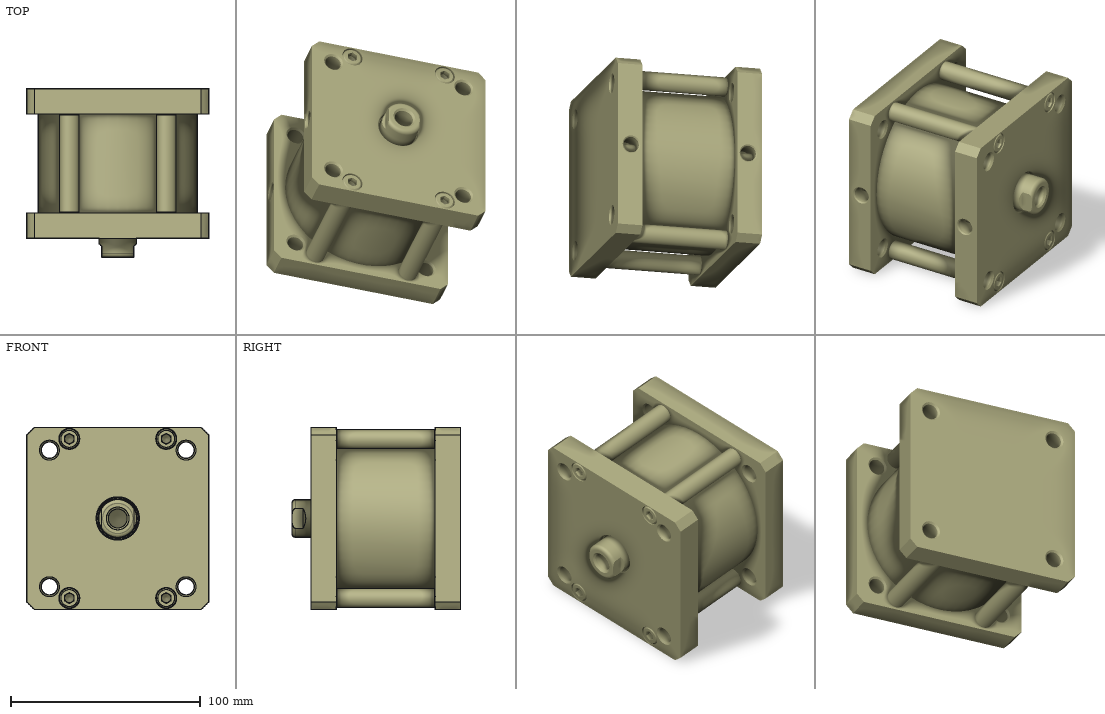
import cadquery as cq
import math


PLATE_SIDE = 96.0
PLATE_THICKNESS = 13.4
CORNER_CHAMFER = 4.0

TUBE_LENGTH = 52.1
TUBE_OUTER_DIAMETER = 84.0
TUBE_BORE_DIAMETER = 80.0

MOUNT_PITCH = 72.0
MOUNT_HOLE_DIAMETER = 8.5
MOUNT_MOUTH_DIAMETER = 10.5

PORT_FROM_INNER_FACE = 6.0
PORT_DIAMETER = 8.4
PORT_MOUTH_DIAMETER = 9.6
PORT_DEPTH = 12.0
PORT_BAR_DIAMETER = 5.0

TIE_PITCH_X = 51.1
TIE_PITCH_Z = 83.9
PILLAR_DIAMETER = 10.1
PILLAR_CHAMFER = 0.5
SHANK_DIAMETER = 6.9
HEAD_DIAMETER = 10.5
HEAD_HEIGHT = 6.0
HEAD_CHAMFER = 0.8
COUNTERBORE_DIAMETER = 11.0
SOCKET_ACROSS_FLATS = 5.0
SOCKET_DEPTH = 3.0
HEX_SIDES = 6
HEX_HALF_ANGLE = 180 / HEX_SIDES

GLAND_BORE_DIAMETER = 20.6
GLAND_RECESS_DIAMETER = 21.9
GLAND_RECESS_DEPTH = 1.9
GLAND_MOUTH_DIAMETER = 22.8

ROD_DIAMETER = 20.0
ROD_PROJECTION = 10.0
ROD_TIP_FILLET = 2.0
ROD_ACROSS_FLATS = 17.0
ROD_FLAT_LENGTH = 5.9
ROD_HOLE_DIAMETER = 10.0
ROD_HOLE_MOUTH_DIAMETER = 12.0
ROD_HOLE_DEPTH = 19.2

DRILL_POINT_ANGLE = 118.0
ROD_HOLE_POINT_ANGLE = 160.0

BACK_PLATE_START = PLATE_THICKNESS + TUBE_LENGTH
ALONG_X = cq.Vector(1, 0, 0)
ALONG_Y = cq.Vector(0, 1, 0)


def four_corners(pitch_x, pitch_z):
    """X and Z of four points placed evenly about the cylinder axis."""
    return [(x * pitch_x / 2, z * pitch_z / 2) for x in (-1, 1) for z in (-1, 1)]


MOUNT_CENTRES = four_corners(MOUNT_PITCH, MOUNT_PITCH)
TIE_CENTRES = four_corners(TIE_PITCH_X, TIE_PITCH_Z)


def cylinder(diameter, start, end, x=0.0, z=0.0):
    """Cylinder along Y between two Y positions."""
    return cq.Workplane(cq.Solid.makeCylinder(diameter / 2, end - start, cq.Vector(x, start, z), ALONG_Y))


def mouth_chamfer(diameter, mouth_diameter, face, inward, x=0.0, z=0.0):
    """45 degree countersink that narrows from a face along Y; inward is +1 or -1."""
    depth = (mouth_diameter - diameter) / 2
    cone = cq.Solid.makeCone(
        mouth_diameter / 2, diameter / 2, depth, cq.Vector(x, face, z), ALONG_Y * inward
    )
    return cq.Workplane(cone)


def drill_point(diameter, start, direction, angle=DRILL_POINT_ANGLE):
    """Conical bottom of a drilled hole."""
    height = diameter / 2 / math.tan(math.radians(angle / 2))
    return cq.Workplane(cq.Solid.makeCone(diameter / 2, 0, height, start, direction))


def air_port(port_y):
    """Blind drilled port along X, less the bar that crosses it near its bottom."""
    side = -PLATE_SIDE / 2
    mouth_depth = (PORT_MOUTH_DIAMETER - PORT_DIAMETER) / 2
    mouth = cq.Vector(side, port_y, 0)
    port = cq.Workplane(cq.Solid.makeCylinder(PORT_DIAMETER / 2, PORT_DEPTH, mouth, ALONG_X))
    countersink = cq.Solid.makeCone(
        PORT_MOUTH_DIAMETER / 2, PORT_DIAMETER / 2, mouth_depth, mouth, ALONG_X
    )
    port = port.union(cq.Workplane(countersink))
    port = port.union(drill_point(PORT_DIAMETER, cq.Vector(side + PORT_DEPTH, port_y, 0), ALONG_X))
    bar_x = side + PORT_DEPTH - PORT_BAR_DIAMETER / 2
    bar = cylinder(PORT_BAR_DIAMETER, port_y - PORT_DIAMETER, port_y + PORT_DIAMETER, x=bar_x)
    return port.cut(bar)


def end_plate(start, port_y):
    """Square plate with chamfered corners, mounting holes and an air port."""
    end = start + PLATE_THICKNESS
    plate = (
        cq.Workplane("XY")
        .box(PLATE_SIDE, PLATE_THICKNESS, PLATE_SIDE)
        .edges("|Y")
        .chamfer(CORNER_CHAMFER)
        .translate((0, start + PLATE_THICKNESS / 2, 0))
    )
    for x, z in MOUNT_CENTRES:
        plate = plate.cut(cylinder(MOUNT_HOLE_DIAMETER, start, end, x, z))
        plate = plate.cut(mouth_chamfer(MOUNT_HOLE_DIAMETER, MOUNT_MOUTH_DIAMETER, start, 1, x, z))
        plate = plate.cut(mouth_chamfer(MOUNT_HOLE_DIAMETER, MOUNT_MOUTH_DIAMETER, end, -1, x, z))
    return plate.cut(air_port(port_y))


def make_front_plate():
    plate = end_plate(0, PLATE_THICKNESS - PORT_FROM_INNER_FACE)
    plate = plate.cut(cylinder(GLAND_BORE_DIAMETER, 0, PLATE_THICKNESS))
    plate = plate.cut(cylinder(GLAND_RECESS_DIAMETER, 0, GLAND_RECESS_DEPTH))
    plate = plate.cut(mouth_chamfer(GLAND_RECESS_DIAMETER, GLAND_MOUTH_DIAMETER, 0, 1))
    for x, z in TIE_CENTRES:
        plate = plate.cut(cylinder(SHANK_DIAMETER, 0, PLATE_THICKNESS, x, z))
        plate = plate.cut(cylinder(COUNTERBORE_DIAMETER, 0, HEAD_HEIGHT, x, z))
    return plate


def make_back_plate():
    return end_plate(BACK_PLATE_START, BACK_PLATE_START + PORT_FROM_INNER_FACE)


def make_tube():
    outside = cylinder(TUBE_OUTER_DIAMETER, PLATE_THICKNESS, BACK_PLATE_START)
    return outside.cut(cylinder(TUBE_BORE_DIAMETER, PLATE_THICKNESS, BACK_PLATE_START))


def make_tie_rod(x, z):
    """Pillar between the plates, with a shank and a socket head in the front plate."""
    pillar = cylinder(PILLAR_DIAMETER, PLATE_THICKNESS, BACK_PLATE_START).edges().chamfer(PILLAR_CHAMFER)
    shank = cylinder(SHANK_DIAMETER, HEAD_HEIGHT, PLATE_THICKNESS)
    head = cylinder(HEAD_DIAMETER, 0, HEAD_HEIGHT).faces("<Y").edges().chamfer(HEAD_CHAMFER)
    across_corners = SOCKET_ACROSS_FLATS / math.cos(math.radians(HEX_HALF_ANGLE))
    socket = (
        cq.Workplane("XZ")
        .transformed(rotate=(0, 0, HEX_HALF_ANGLE))
        .polygon(HEX_SIDES, across_corners)
        .extrude(-SOCKET_DEPTH)
    )
    point = drill_point(SOCKET_ACROSS_FLATS, cq.Vector(0, SOCKET_DEPTH, 0), ALONG_Y)
    return pillar.union(shank).union(head).cut(socket).cut(point).translate((x, 0, z))


def make_piston_rod():
    """Rod with a rounded tip, two wrench flats and a drilled end."""
    tip = -ROD_PROJECTION
    rod = cylinder(ROD_DIAMETER, tip, BACK_PLATE_START).faces("<Y").edges().fillet(ROD_TIP_FILLET)
    flat = ROD_ACROSS_FLATS / 2
    flat_depth = ROD_DIAMETER / 2 - flat
    flat_end = tip + ROD_FLAT_LENGTH
    waste = (
        cq.Workplane("XY")
        .moveTo(flat, tip)
        .lineTo(flat, flat_end)
        .lineTo(flat + flat_depth, flat_end + flat_depth)
        .lineTo(flat + flat_depth, tip)
        .close()
        .extrude(ROD_DIAMETER / 2, both=True)
    )
    rod = rod.cut(waste).cut(waste.mirror("YZ"))
    bottom = tip + ROD_HOLE_DEPTH
    rod = rod.cut(cylinder(ROD_HOLE_DIAMETER, tip, bottom))
    rod = rod.cut(drill_point(ROD_HOLE_DIAMETER, cq.Vector(0, bottom, 0), ALONG_Y, ROD_HOLE_POINT_ANGLE))
    return rod.cut(mouth_chamfer(ROD_HOLE_DIAMETER, ROD_HOLE_MOUTH_DIAMETER, tip, 1))


front_plate = make_front_plate()
back_plate = make_back_plate()
tube = make_tube()
piston_rod = make_piston_rod()
tie_rods = [make_tie_rod(x, z) for x, z in TIE_CENTRES]

result = cq.Compound.makeCompound(
    [
        front_plate.val(),
        back_plate.val(),
        tube.val(),
        piston_rod.val(),
        *[tie_rod.val() for tie_rod in tie_rods],
    ]
)